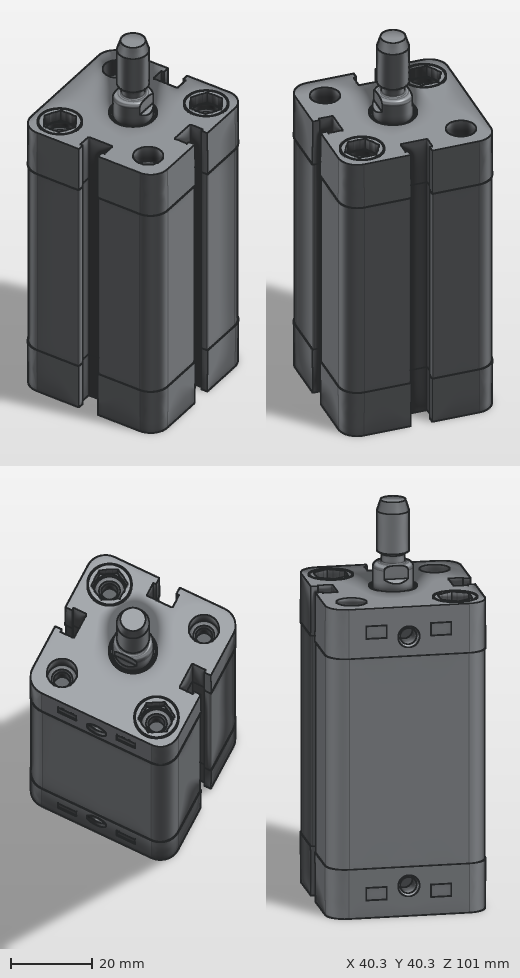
import cadquery as cq
import math

section_width = 40.0
joint_width = 40.3
cap_draft = 0.5
corner_radius = 5.0
cap_height = 12.6
body_height = 79.0
total_height = 101.0
barrel_height = body_height - 2 * cap_height
barrel_top = cap_height + barrel_height

slot_angles = (0, 90, -90)
slot_width = 7.1
slot_mouth = 5.6
slot_depth = 5.5
slot_lip = 1.8
slot_corner_radius = 0.3
barrel_lip_radius = 0.3

mount_offset = 13.0
plain_corners = [(-mount_offset, mount_offset), (mount_offset, -mount_offset)]
screw_corners = [(mount_offset, mount_offset), (-mount_offset, -mount_offset)]
mount_bore = 7.5
mount_bore_depth = 4.5
thread_core = 4.13
thread_mouth = 5.2
thread_depth = 4.0
screw_recess = 11.1
screw_top = 10.48
screw_chamfer_depth = 0.3
socket_across_flats = 7.8
socket_depth = 3.0
socket_bore = 8.0

port_inset = 7.7
port_core = 4.13
port_mouth = 5.4
port_depth = 6.0

label_width = 5.1
label_height = 3.2
label_depth = 0.2
label_offset = 8.1
label_inset = 6.1

rod_diameter = 10.0
recess_mouth = 12.0
recess_wall = 11.4
recess_depth = 0.4
wiper_lip = 10.9
wiper_depth = 0.7
shoulder_z = 85.1
shoulder_radius = 1.2
neck_base_radius = 0.3
neck_diameter = 5.8
thread_diameter = 8.0
thread_base_z = 88.0
thread_runout = 0.75
thread_tip_diameter = 6.2
thread_tip_length = 2.8
flats_distance = 8.0
flats_bottom_z = 81.7


def slot_cutter(z_bottom, height):
    """T-slot volumes for all the slotted sides over one stretch of height."""
    half = section_width / 2
    reach = slot_depth + joint_width - section_width
    floor_x = half - slot_depth
    base = cq.Workplane("XY", origin=(floor_x, 0, z_bottom))
    undercut = (
        base.box(slot_depth - slot_lip, slot_width, height, centered=(False, True, False))
        .edges("|Z and <X")
        .fillet(slot_corner_radius)
    )
    slot = undercut.union(base.box(reach, slot_mouth, height, centered=(False, True, False))).val()
    slots = [slot.rotate(cq.Vector(0, 0, 0), cq.Vector(0, 0, 1), angle) for angle in slot_angles]
    return cq.Workplane("XY").newObject([cq.Compound.makeCompound(slots)])


def mount_thread(corners, floor_z):
    """Threaded-hole cores with a conical mouth, going down from floor_z."""
    mouth_depth = (thread_mouth - thread_core) / 2
    profile = (
        cq.Workplane("XZ")
        .moveTo(0, 0)
        .lineTo(thread_mouth / 2, 0)
        .lineTo(thread_core / 2, -mouth_depth)
        .lineTo(thread_core / 2, -thread_depth)
        .lineTo(0, -thread_depth)
        .close()
    )
    core = profile.revolve(360, (0, 0), (0, 1)).val()
    return cq.Workplane("XY", origin=(0, 0, floor_z)).pushPoints(corners).eachpoint(
        lambda place: core.moved(place), combine="a"
    )


def screw_rims():
    """V-shaped ring grooves between the screw heads and their recesses."""
    profile = (
        cq.Workplane("XZ")
        .moveTo(screw_top / 2, 0)
        .lineTo(screw_recess / 2, 0)
        .lineTo(screw_recess / 2, -screw_chamfer_depth)
        .close()
    )
    groove = profile.revolve(360, (0, 0), (0, 1)).val()
    return cq.Workplane("XY", origin=(0, 0, body_height)).pushPoints(screw_corners).eachpoint(
        lambda place: groove.moved(place), combine="a"
    )


def rod_recess():
    """Recess around the rod: conical mouth, then a round wall down to a narrower wiper lip."""
    profile = (
        cq.Workplane("XZ", origin=(0, 0, body_height))
        .moveTo(0, 0)
        .lineTo(recess_mouth / 2, 0)
        .lineTo(recess_wall / 2, -(recess_mouth - recess_wall) / 2)
        .lineTo(recess_wall / 2, -recess_depth)
        .lineTo(wiper_lip / 2, -recess_depth)
        .lineTo(wiper_lip / 2, -wiper_depth)
        .lineTo(0, -wiper_depth)
        .close()
    )
    return profile.revolve(360, (0, 0), (0, 1))


def port_cutter(z):
    """Blind port with a countersunk mouth on the -X side."""
    mouth_depth = (port_mouth - port_core) / 2
    face_x = -joint_width / 2
    profile = (
        cq.Workplane("XY", origin=(0, 0, z))
        .moveTo(face_x, 0)
        .lineTo(face_x, port_mouth / 2)
        .lineTo(-section_width / 2, port_mouth / 2)
        .lineTo(-section_width / 2 + mouth_depth, port_core / 2)
        .lineTo(-section_width / 2 + port_depth, port_core / 2)
        .lineTo(-section_width / 2 + port_depth, 0)
        .close()
    )
    return profile.revolve(360, (0, 0), (1, 0))


def label_cutter(z):
    """Pair of shallow rectangular recesses on the -X side."""
    depth = label_depth + (joint_width - section_width) / 2
    return (
        cq.Workplane("YZ", origin=(-joint_width / 2, 0, z))
        .pushPoints([(-label_offset, 0), (label_offset, 0)])
        .rect(label_width, label_height)
        .extrude(depth)
    )


def cap_block():
    """Drafted cap blank: wide joint face on Z = 0, outer face above it."""
    return (
        cq.Workplane("XY")
        .sketch()
        .rect(joint_width, joint_width)
        .vertices()
        .fillet(corner_radius)
        .finalize()
        .extrude(cap_height, taper=cap_draft)
    )


def build_top_cap():
    cap = cap_block().translate((0, 0, barrel_top))
    cap = cap.cut(slot_cutter(barrel_top, cap_height))
    top = cq.Workplane("XY", origin=(0, 0, body_height))

    corners = plain_corners + screw_corners
    cap = cap.cut(top.pushPoints(corners).circle(mount_bore / 2).extrude(-mount_bore_depth))
    cap = cap.cut(mount_thread(corners, body_height - mount_bore_depth))

    cap = cap.cut(screw_rims())
    socket_diameter = socket_across_flats / math.cos(math.pi / 6)
    cap = cap.cut(top.pushPoints(screw_corners).polygon(6, socket_diameter).extrude(-socket_depth))
    cap = cap.cut(top.pushPoints(screw_corners).circle(socket_bore / 2).extrude(-socket_depth))

    cap = cap.cut(top.circle(rod_diameter / 2).extrude(-cap_height))
    cap = cap.cut(rod_recess())

    cap = cap.cut(port_cutter(body_height - port_inset))
    return cap.cut(label_cutter(body_height - label_inset))


def build_bottom_cap():
    cap = cap_block().mirror("XY").translate((0, 0, cap_height))
    cap = cap.cut(slot_cutter(0, cap_height))
    cap = cap.cut(port_cutter(port_inset))
    return cap.cut(label_cutter(label_inset))


def build_barrel():
    barrel = (
        cq.Workplane("XY", origin=(0, 0, cap_height))
        .rect(section_width, section_width)
        .extrude(barrel_height)
        .edges("|Z")
        .fillet(corner_radius)
    )
    barrel = barrel.cut(slot_cutter(cap_height, barrel_height))

    half = section_width / 2
    for angle in slot_angles:
        turn = math.radians(angle)
        for side in (-slot_mouth / 2, slot_mouth / 2):
            edge_x = half * math.cos(turn) - side * math.sin(turn)
            edge_y = half * math.sin(turn) + side * math.cos(turn)
            mouth_edge = cq.selectors.NearestToPointSelector((edge_x, edge_y, body_height / 2))
            barrel = barrel.edges("|Z").edges(mouth_edge).fillet(barrel_lip_radius)
    return barrel


def build_rod():
    rod = (
        cq.Workplane("XZ")
        .moveTo(0, barrel_top)
        .lineTo(rod_diameter / 2, barrel_top)
        .lineTo(rod_diameter / 2, shoulder_z - shoulder_radius)
        .radiusArc((rod_diameter / 2 - shoulder_radius, shoulder_z), -shoulder_radius)
        .lineTo(neck_diameter / 2 + neck_base_radius, shoulder_z)
        .radiusArc((neck_diameter / 2, shoulder_z + neck_base_radius), neck_base_radius)
        .lineTo(neck_diameter / 2, thread_base_z - thread_runout)
        .lineTo(thread_diameter / 2, thread_base_z)
        .lineTo(thread_diameter / 2, total_height - thread_tip_length)
        .lineTo(thread_tip_diameter / 2, total_height)
        .lineTo(0, total_height)
        .close()
        .revolve(360, (0, 0), (0, 1))
    )
    half = flats_distance / 2
    runout = rod_diameter / 2
    flat = (
        cq.Workplane("XZ")
        .moveTo(half, flats_bottom_z)
        .lineTo(half + runout, flats_bottom_z - runout)
        .lineTo(half + runout, shoulder_z)
        .lineTo(half, shoulder_z)
        .close()
        .extrude(rod_diameter, both=True)
    )
    return rod.cut(flat).cut(flat.mirror("YZ"))


bottom_cap = build_bottom_cap()
barrel = build_barrel()
top_cap = build_top_cap()
rod = build_rod()

result = cq.Compound.makeCompound([bottom_cap.val(), barrel.val(), top_cap.val(), rod.val()])